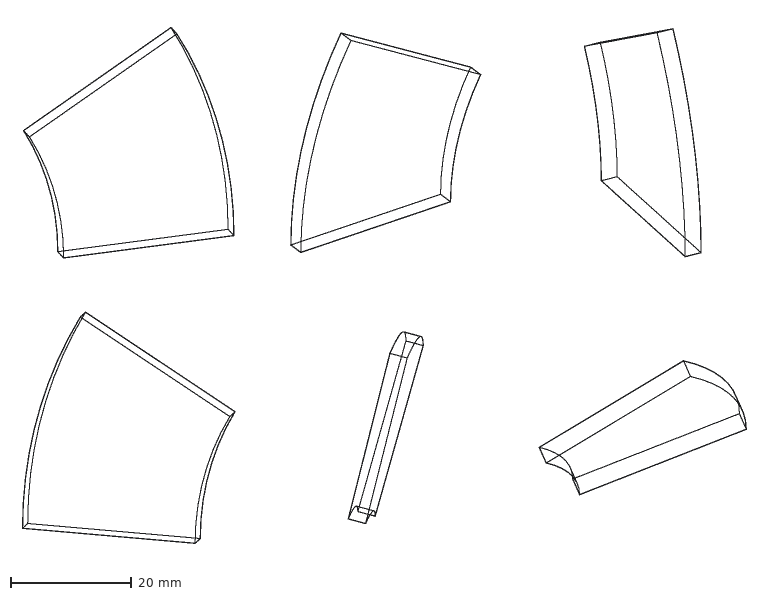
import cadquery as cq
import math

thickness = 3.0
outer_radius = 75.0
radial_width = 30.0
sweep_angle = 30.0
inner_radius = outer_radius - radial_width


def ring_point(radius, angle):
    """Return the (Y, Z) point at a radius and an angle in degrees."""
    angle_rad = math.radians(angle)
    return (radius * math.cos(angle_rad), radius * math.sin(angle_rad))


middle_angle = sweep_angle / 2

result = (
    cq.Workplane("YZ")
    .moveTo(*ring_point(inner_radius, 0))
    .lineTo(*ring_point(outer_radius, 0))
    .threePointArc(ring_point(outer_radius, middle_angle), ring_point(outer_radius, sweep_angle))
    .lineTo(*ring_point(inner_radius, sweep_angle))
    .threePointArc(ring_point(inner_radius, middle_angle), ring_point(inner_radius, 0))
    .close()
    .extrude(thickness)
)